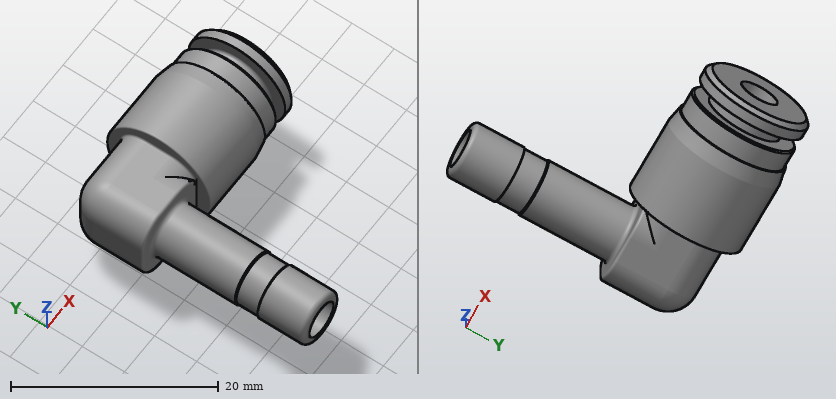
import cadquery as cq
import math


elbow_half = 4.45
outer_round = 3.03
inner_round = 3.43
stem_face_round = 0.3
socket_flare = 0.23
limb_overrun = 0.35

socket_radius = 6.2
socket_start = elbow_half
socket_edge_round = 0.17
taper_start = 12.18
taper_end = 13.85
taper_end_radius = 5.9

collar_radius = 5.72
collar_end = 16.07
collar_chamfer = 0.17
neck_radius = 3.92
neck_round = 0.31
flange_start = 17.47
flange_end = 19.08
flange_chamfer = 0.51

stem_radius = 3.0
stem_end = 22.4
stem_root_round = 0.45
stem_tip_round = 0.51
groove_radius = 2.9
groove_start = 14.27
groove_end = 16.95
groove_slope = 0.11

bore_radius = 2.0


def limb_prism(plane):
    """Square limb whose edges on the inside of the elbow fall away in a large arc.

    The local x axis points to the inside of the elbow and local y is parallel to Z.
    The arcs overrun the elbow slightly, to be trimmed by the faces of the block.
    """
    arc_x = elbow_half - outer_round
    arc_y = elbow_half - inner_round
    arc_mid_x = arc_x + inner_round * math.sin(math.pi / 6)
    arc_mid_y = arc_y + inner_round * math.cos(math.pi / 6)
    side_x = elbow_half + limb_overrun
    side_y = arc_y + math.sqrt(inner_round**2 - (side_x - arc_x) ** 2)
    return (
        cq.Workplane(plane)
        .moveTo(-elbow_half, -elbow_half)
        .lineTo(arc_x, -elbow_half)
        .threePointArc((arc_mid_x, -arc_mid_y), (side_x, -side_y))
        .lineTo(side_x, side_y)
        .threePointArc((arc_mid_x, arc_mid_y), (arc_x, elbow_half))
        .lineTo(-elbow_half, elbow_half)
        .close()
        .extrude(elbow_half, both=True)
    )


def rounded_block():
    """Block with the tangent rounds that form the outer corner of the elbow."""
    block = cq.Workplane("XY").box(2 * elbow_half, 2 * elbow_half, 2 * elbow_half)
    return block.faces("<X or >Y").edges("not(>X or <Y)").fillet(outer_round)


def socket_limb():
    return limb_prism(cq.Plane((0, 0, 0), xDir=(0, -1, 0), normal=(-1, 0, 0)))


def stem_limb():
    return limb_prism(cq.Plane((0, 0, 0), xDir=(1, 0, 0), normal=(0, -1, 0)))


def make_elbow():
    """Mitred limbs with a round outer corner."""
    elbow = rounded_block().intersect(socket_limb().union(stem_limb()))
    return elbow.faces("<Y").edges("not >X").fillet(stem_face_round)


def make_flare():
    """Concave flare around the socket limb where it meets the socket, flush with the stem face."""
    limb = socket_limb().faces(">Y").edges("|X").fillet(outer_round)
    seat = cq.Workplane("YZ", (socket_start, 0, 0)).circle(taper_end_radius).extrude(socket_flare)
    span = 2 * taper_end_radius
    foot_edge = cq.selectors.NearestToPointSelector((socket_start, elbow_half, 0))
    flare = limb.union(seat).edges(foot_edge).fillet(socket_flare)
    joint_zone = (
        cq.Workplane("XY")
        .box(3 * socket_flare, span, span)
        .translate((socket_start, span / 2 - elbow_half, 0))
    )
    return flare.intersect(joint_zone)


def make_socket():
    """Socket body, collar, neck and release flange turned about the X axis."""
    profile = (
        cq.Workplane("XY")
        .moveTo(socket_start, 0)
        .lineTo(socket_start, socket_radius - socket_edge_round)
        .radiusArc((socket_start + socket_edge_round, socket_radius), socket_edge_round)
        .lineTo(taper_start, socket_radius)
        .lineTo(taper_end, taper_end_radius)
        .lineTo(taper_end, collar_radius)
        .lineTo(collar_end - collar_chamfer, collar_radius)
        .lineTo(collar_end, collar_radius - collar_chamfer)
        .lineTo(collar_end, neck_radius)
        .lineTo(flange_start - neck_round, neck_radius)
        .radiusArc((flange_start, neck_radius + neck_round), -neck_round)
        .lineTo(flange_start, collar_radius)
        .lineTo(flange_end - flange_chamfer, collar_radius)
        .lineTo(flange_end, collar_radius - flange_chamfer)
        .lineTo(flange_end, 0)
        .close()
    )
    return profile.revolve(360, (0, 0, 0), (1, 0, 0))


def make_stem():
    """Grooved stem turned about the Y axis, with a rounded root and tip."""
    profile = (
        cq.Workplane("XY")
        .lineTo(0, -stem_end)
        .lineTo(stem_radius - stem_tip_round, -stem_end)
        .radiusArc((stem_radius, -stem_end + stem_tip_round), -stem_tip_round)
        .lineTo(stem_radius, -groove_end)
        .lineTo(groove_radius, -groove_end)
        .lineTo(groove_radius, -groove_start - groove_slope)
        .lineTo(stem_radius, -groove_start)
        .lineTo(stem_radius, -elbow_half - stem_root_round)
        .radiusArc((stem_radius + stem_root_round, -elbow_half), stem_root_round)
        .lineTo(stem_radius, -elbow_half)
        .lineTo(stem_radius, 0)
        .close()
    )
    return profile.revolve(360, (0, 0, 0), (0, 1, 0))


def make_passage():
    """Two equal bores joined by a ball at the bend."""
    socket_bore = cq.Workplane("YZ").circle(bore_radius).extrude(flange_end)
    stem_bore = cq.Workplane("XZ").circle(bore_radius).extrude(stem_end)
    return socket_bore.union(stem_bore).union(cq.Workplane("XY").sphere(bore_radius))


result = (
    make_flare()
    .union(make_socket())
    .union(make_elbow())
    .union(make_stem())
    .cut(make_passage())
)